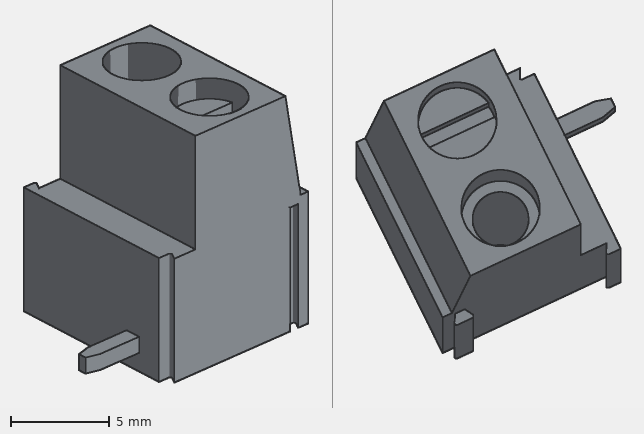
import cadquery as cq

pitch = 5.09
poles = 2
width = poles * pitch
depth = 9.8
height = 13.8
shoulder_height = 7.2
shoulder_depth = 1.99
ledge_height = 7.67
ledge_depth = 0.52
top_back = 8.22

rail_reach = 0.58
rail_root_half_width = 0.28
rail_tip_half_width = 0.61
rail_center = 8.82
tip_radius = 0.11
lip_root = 0.52
lip_tip = 0.85

well_center_y = 5.3
well_diameter = 4.0
bore_diameter = 2.85
well_depth = 2.4
screw_drop = 1.2
slot_width = 0.8
slot_depth = 0.8

pin_width = 0.94
pin_tip_width = 0.5
pin_length = 3.5
pin_taper = 0.8
pin_bottom = 1.09


def well_x(index):
    return (index + 0.5) * pitch


def housing():
    profile = [
        (0, 0),
        (depth, 0),
        (depth, ledge_height),
        (depth - ledge_depth, ledge_height),
        (top_back, height),
        (shoulder_depth, height),
        (shoulder_depth, shoulder_height),
        (0, shoulder_height),
    ]
    return cq.Workplane("YZ").polyline(profile).close().extrude(width)


def dovetails(wall_x):
    """Rear rail and front lip that reach out to the left of the given wall."""
    tip_x = wall_x - rail_reach
    rail_outline = [
        (wall_x, rail_center - rail_root_half_width),
        (tip_x, rail_center - rail_tip_half_width),
        (tip_x, rail_center + rail_tip_half_width),
        (wall_x, rail_center + rail_root_half_width),
    ]
    lip_outline = [
        (wall_x, 0),
        (tip_x, 0),
        (tip_x, lip_tip),
        (wall_x, lip_root),
    ]
    rail = cq.Workplane("XY").polyline(rail_outline).close().extrude(shoulder_height)
    lip = cq.Workplane("XY").polyline(lip_outline).close().extrude(shoulder_height)
    rail = rail.faces("<X").edges("|Z").fillet(tip_radius)
    lip = lip.faces("<X").edges("|Z and >Y").fillet(tip_radius)
    return rail.union(lip)


def open_well():
    """Stepped bore that runs right through the housing."""
    start = cq.Workplane("XY").center(well_x(0), well_center_y)
    well = start.workplane(offset=height - well_depth).circle(well_diameter / 2).extrude(well_depth)
    return well.union(start.circle(bore_diameter / 2).extrude(height))


def screw_well():
    """Blind well down to the screw head, with the driver slot cut into the head."""
    head = cq.Workplane("XY", origin=(well_x(1), well_center_y, height - screw_drop))
    well = head.circle(well_diameter / 2).extrude(screw_drop)
    slot = head.rect(slot_width, well_diameter).extrude(-slot_depth)
    slot = slot.intersect(head.circle(well_diameter / 2).extrude(-slot_depth))
    return well.union(slot)


def pin():
    outline = [
        (-pin_width / 2, 0),
        (-pin_width / 2, pin_taper - pin_length),
        (-pin_tip_width / 2, -pin_length),
        (pin_tip_width / 2, -pin_length),
        (pin_width / 2, pin_taper - pin_length),
        (pin_width / 2, 0),
    ]
    plane = cq.Workplane("XY", origin=(well_x(1), 0, pin_bottom))
    return plane.polyline(outline).close().extrude(pin_width)


body = housing().union(dovetails(0)).cut(dovetails(width))
result = body.cut(open_well()).cut(screw_well()).union(pin())